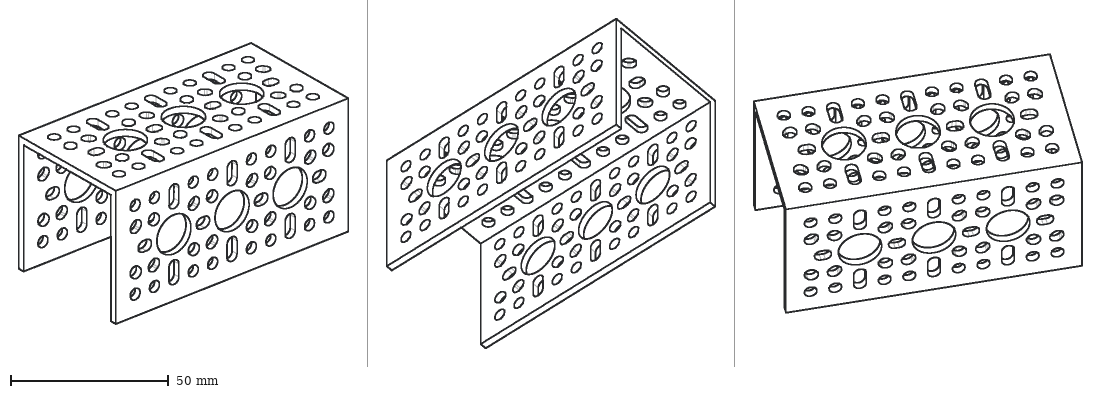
import cadquery as cq
import math

length = 96.0
width = 48.0
wall = 2.5
bore_diameter = 14.0
hole_diameter = 4.0

bore_pitch = length / 4
grid = bore_pitch / 3
edge_row = 2 * grid
slot_inner_radius = grid * math.sqrt(2)
half_pitch = bore_pitch / 2

bore_places = [step * bore_pitch for step in (-1, 0, 1)]
node_places = [step * bore_pitch for step in (-2, -1, 0, 1, 2)]
bridge_places = [step * half_pitch for step in (-3, -1, 1, 3)]


def round_hole(u, v, diameter):
    """Round cutter through a plate; u runs along the channel, v across it."""
    return cq.Workplane("XY").center(v, u).circle(diameter / 2).extrude(wall)


def slot(u, v, straight, angle):
    """Slot cutter centred at (u, v); straight is the distance between its end centres."""
    overall = straight + hole_diameter
    return cq.Workplane("XY").center(v, u).slot2D(overall, hole_diameter, angle).extrude(wall)


def round_cutters():
    cutters = [round_hole(u, 0, bore_diameter) for u in bore_places]
    for node in node_places:
        for u in (node - grid, node + grid):
            if abs(u) < length / 2:
                cutters += [round_hole(u, v, hole_diameter) for v in (-edge_row, edge_row)]
    return cutters


def cross_slot_cutters():
    """Slots beside each bore, reaching out to the edge rows."""
    centre = (slot_inner_radius + edge_row) / 2
    straight = edge_row - slot_inner_radius
    return [slot(u, side * centre, straight, 0) for u in bore_places for side in (-1, 1)]


def bridge_slot_cutters():
    """Short slots on the centreline, halfway between neighbouring bore positions."""
    straight = 2 * (half_pitch - slot_inner_radius)
    return [slot(u, 0, straight, 90) for u in bridge_places]


def diagonal_slot_cutters():
    """Short slots pointing radially at 45 degrees from every bore position."""
    offset = (slot_inner_radius + half_pitch) / 2 / math.sqrt(2)
    straight = half_pitch - slot_inner_radius
    cutters = []
    for node in node_places:
        for u_side in (-1, 1):
            u = node + u_side * offset
            if abs(u) < length / 2:
                cutters += [slot(u, v_side * offset, straight, 45 * u_side * v_side) for v_side in (-1, 1)]
    return cutters


def hole_pattern():
    cutters = round_cutters() + cross_slot_cutters() + bridge_slot_cutters() + diagonal_slot_cutters()
    return cq.Workplane(obj=cq.Compound.makeCompound([item.val() for item in cutters]))


def perforated_plate():
    """Horizontal plate resting on Z = 0, carrying the full hole pattern."""
    return cq.Workplane("XY").box(width, length, wall, centered=(True, True, False)).cut(hole_pattern())


web = perforated_plate().translate((0, 0, width / 2 - wall))
flange = perforated_plate().rotate((0, 0, 0), (0, 1, 0), 90)

result = web
for low_x in (-width / 2, width / 2 - wall):
    result = result.union(flange.translate((low_x, 0, 0)))